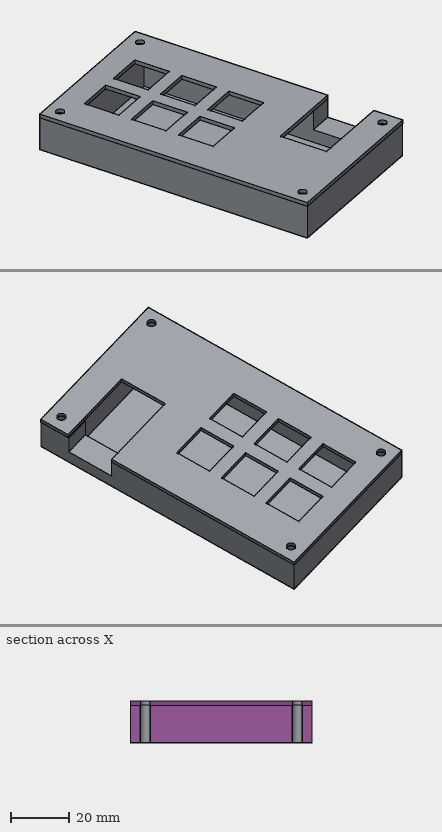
import cadquery as cq

LENGTH = 108.0
CASE_END_SETBACK = 0.05
WIDTH = 62.3
HEIGHT = 14.5
PLATE_THICKNESS = 1.5
CASE_HEIGHT = HEIGHT - PLATE_THICKNESS
CASE_LENGTH = LENGTH - CASE_END_SETBACK

WALL = 9.5
RIGHT_WALL = 10.5
FLOOR = 0.4
CAVITY_LENGTH = CASE_LENGTH - WALL - RIGHT_WALL
CAVITY_WIDTH = WIDTH - 2 * WALL

SCREW_INSET = 5.1
PLATE_SCREW_DIAMETER = 3.1
CASE_SCREW_DIAMETER = 3.3

KEY_COLUMNS = 3
KEY_ROWS = 2
KEY_SIZE = 13.9
KEY_PITCH = 19.0
KEY_GRID_X = -18.5
KEY_GRID_Y = -1.0

CONNECTOR_LEFT = 23.8
PLATE_NOTCH_WIDTH = 18.6
PLATE_NOTCH_DEPTH = 31.0
CASE_NOTCH_WIDTH = 18.3
CASE_NOTCH_SILL = 5.5


def box_from_corner(x, y, z, size_x, size_y, size_z):
    """Box reaching from its lowest corner in the positive directions."""
    return cq.Workplane("XY").box(size_x, size_y, size_z, centered=False).translate((x, y, z))


def screw_holes(diameter):
    """Four corner cylinders, tall enough to cut through either body."""
    return (
        cq.Workplane("XY")
        .rect(LENGTH - 2 * SCREW_INSET, WIDTH - 2 * SCREW_INSET, forConstruction=True)
        .vertices()
        .circle(diameter / 2)
        .extrude(HEIGHT)
    )


def key_openings():
    """Square openings for the keys, in a regular grid."""
    return (
        cq.Workplane("XY", origin=(KEY_GRID_X, KEY_GRID_Y, CASE_HEIGHT))
        .rarray(KEY_PITCH, KEY_PITCH, KEY_COLUMNS, KEY_ROWS)
        .rect(KEY_SIZE, KEY_SIZE)
        .extrude(PLATE_THICKNESS)
    )


def make_case():
    """Open-topped tray with a connector notch through its +Y wall."""
    case = box_from_corner(
        -LENGTH / 2, -WIDTH / 2, 0, CASE_LENGTH, WIDTH, CASE_HEIGHT
    )
    cavity = box_from_corner(
        -LENGTH / 2 + WALL, -CAVITY_WIDTH / 2, FLOOR,
        CAVITY_LENGTH, CAVITY_WIDTH, CASE_HEIGHT - FLOOR,
    )
    notch = box_from_corner(
        CONNECTOR_LEFT, WIDTH / 2 - WALL, CASE_NOTCH_SILL,
        CASE_NOTCH_WIDTH, WALL, CASE_HEIGHT - CASE_NOTCH_SILL,
    )
    return case.cut(cavity).cut(notch).cut(screw_holes(CASE_SCREW_DIAMETER))


def make_plate():
    """Flat cover with the key grid and an open notch above the connector."""
    plate = box_from_corner(
        -LENGTH / 2, -WIDTH / 2, CASE_HEIGHT, LENGTH, WIDTH, PLATE_THICKNESS
    )
    notch = box_from_corner(
        CONNECTOR_LEFT, WIDTH / 2 - PLATE_NOTCH_DEPTH, CASE_HEIGHT,
        PLATE_NOTCH_WIDTH, PLATE_NOTCH_DEPTH, PLATE_THICKNESS,
    )
    return plate.cut(key_openings()).cut(notch).cut(screw_holes(PLATE_SCREW_DIAMETER))


case = make_case()
plate = make_plate()

result = cq.Compound.makeCompound([case.val(), plate.val()])